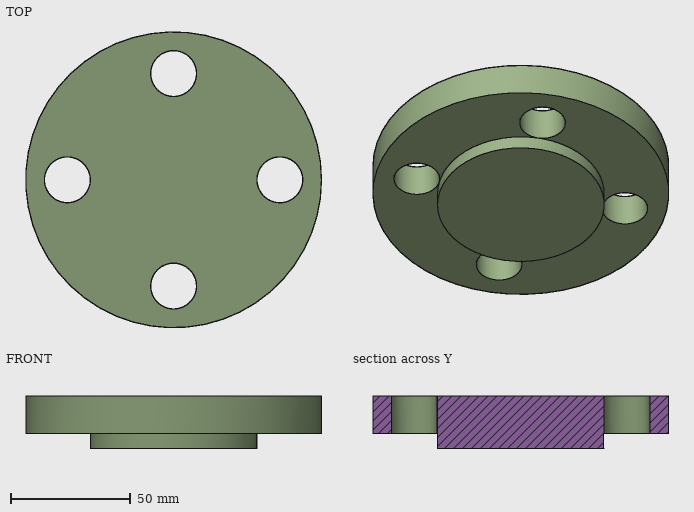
import cadquery as cq

flange_diameter = 123.9
total_height = 22.0
raised_face_diameter = 69.8
raised_face_height = 6.3
plate_thickness = total_height - raised_face_height

bolt_circle_diameter = 89.0
bolt_hole_diameter = 19.1
bolt_hole_count = 4

plate = cq.Workplane("XY").circle(flange_diameter / 2).extrude(plate_thickness)

raised_face = cq.Workplane("XY").circle(raised_face_diameter / 2).extrude(-raised_face_height)

bolt_holes = (
    cq.Workplane("XY")
    .polarArray(bolt_circle_diameter / 2, 0, 360, bolt_hole_count)
    .circle(bolt_hole_diameter / 2)
    .extrude(plate_thickness)
)

result = plate.cut(bolt_holes).union(raised_face)